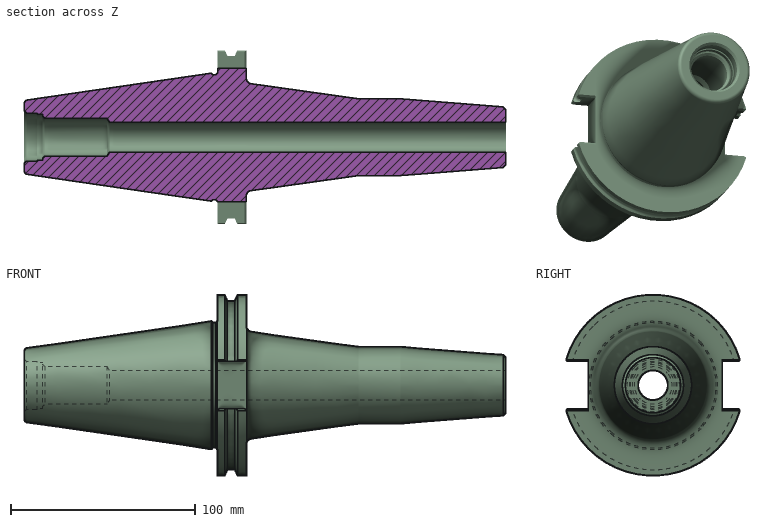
import cadquery as cq
import math


GAUGE_RADIUS = 69.85 / 2
TAPER_LENGTH = 101.75
TAPER_SLOPE = 7 / 48
SHANK_END_FILLET = 2.0

NECK_DEPTH = 0.8

FLANGE_START = 3.2
FLANGE_END = 19.1
FLANGE_RADIUS = 98.425 / 2

GROOVE_CENTER = FLANGE_START + 7.5
GROOVE_TOP_WIDTH = 7.0
GROOVE_FLOOR_WIDTH = 3.9
GROOVE_DEPTH = 3.3

SLOT_WIDTH = 25.8
SLOT_FLOOR_FRONT = 35.3
SLOT_FLOOR_BACK = 37.7
SLOT_CHAMFER = 1.0

NOSE_END = 160.0
NOSE_TIP_RADIUS = 33.0 / 2
NOSE_BODY_RADIUS = 42.0 / 2
NOSE_TIP_ANGLE = 4.5
NOSE_BODY_LENGTH = 22.9
NOSE_ROOT_ANGLE = 8.0
NOSE_ROOT_FILLET = 2.8
NOSE_TIP_CHAMFER = 1.5

MOUTH_RADIUS = 14.2
MOUTH_CHAMFER = 1.2
PILOT_DEPTH = 7.0
RECESS_RADIUS = 12.4
RECESS_DEPTH = 10.0
THREAD_RADIUS = 10.2
THREAD_CHAMFER = 1.2
THREAD_DEPTH = 45.0
DRILL_POINT_ANGLE = 118.0
THROUGH_RADIUS = 8.0

SHANK_END = -TAPER_LENGTH


def revolve_profile(points):
    """Turn a closed (x, radius) outline about the X axis."""
    return cq.Workplane("XY").polyline(points).close().revolve(360, (0, 0, 0), (1, 0, 0))


def make_shank():
    end_radius = GAUGE_RADIUS - TAPER_LENGTH * TAPER_SLOPE
    neck_radius = GAUGE_RADIUS - NECK_DEPTH
    shank = revolve_profile([
        (SHANK_END, 0),
        (SHANK_END, end_radius),
        (0, GAUGE_RADIUS),
        (NECK_DEPTH, neck_radius),
        (FLANGE_START - NECK_DEPTH, neck_radius),
        (FLANGE_START, GAUGE_RADIUS),
        (FLANGE_START, 0),
    ])
    return shank.faces("<X").edges().fillet(SHANK_END_FILLET)


def make_slot(side, floor):
    """Box that clears one drive slot; side is +1 or -1 along Y."""
    depth = FLANGE_RADIUS
    length = FLANGE_END - FLANGE_START
    middle = (FLANGE_START + FLANGE_END) / 2
    offset = side * (floor + depth / 2)
    return cq.Workplane("XY").box(length, depth, SLOT_WIDTH).translate((middle, offset, 0))


def make_groove():
    floor_radius = FLANGE_RADIUS - GROOVE_DEPTH
    half_floor = GROOVE_FLOOR_WIDTH / 2
    half_top = GROOVE_TOP_WIDTH / 2
    return revolve_profile([
        (GROOVE_CENTER - half_floor, floor_radius),
        (GROOVE_CENTER - half_top, FLANGE_RADIUS),
        (GROOVE_CENTER + half_top, FLANGE_RADIUS),
        (GROOVE_CENTER + half_floor, floor_radius),
    ])


def make_flange():
    flange = (
        cq.Workplane("YZ", origin=(FLANGE_START, 0, 0))
        .circle(FLANGE_RADIUS)
        .extrude(FLANGE_END - FLANGE_START)
    )
    flange = flange.cut(make_slot(-1, SLOT_FLOOR_FRONT))
    flange = flange.cut(make_slot(1, SLOT_FLOOR_BACK))
    walls = flange.faces("|Z")
    flange = walls.edges("|Y or (|X and (>Y or <Y))").chamfer(SLOT_CHAMFER)
    return flange.cut(make_groove())


def make_nose():
    """Nose solid, together with the radius of its cone at the flange."""
    tip_taper_length = (NOSE_BODY_RADIUS - NOSE_TIP_RADIUS) / math.tan(math.radians(NOSE_TIP_ANGLE))
    body_end = NOSE_END - tip_taper_length
    body_start = body_end - NOSE_BODY_LENGTH
    root_length = body_start - FLANGE_END
    root_radius = NOSE_BODY_RADIUS + root_length * math.tan(math.radians(NOSE_ROOT_ANGLE))
    nose = revolve_profile([
        (FLANGE_END, 0),
        (FLANGE_END, root_radius),
        (body_start, NOSE_BODY_RADIUS),
        (body_end, NOSE_BODY_RADIUS),
        (NOSE_END, NOSE_TIP_RADIUS),
        (NOSE_END, 0),
    ])
    return nose.faces(">X").edges().chamfer(NOSE_TIP_CHAMFER), root_radius


def make_root_fillet(root_radius):
    """Concave ring blending the flange back face into the nose cone."""
    angle = math.radians(NOSE_ROOT_ANGLE)
    reach = NOSE_ROOT_FILLET / math.tan(math.radians(90 + NOSE_ROOT_ANGLE) / 2)
    center_x = FLANGE_END + NOSE_ROOT_FILLET
    center_r = root_radius + reach
    cone_end = (FLANGE_END + reach * math.cos(angle), root_radius - reach * math.sin(angle))
    middle_angle = math.radians((180 + 270 - NOSE_ROOT_ANGLE) / 2)
    middle = (
        center_x + NOSE_ROOT_FILLET * math.cos(middle_angle),
        center_r + NOSE_ROOT_FILLET * math.sin(middle_angle),
    )
    return (
        cq.Workplane("XY")
        .moveTo(FLANGE_END, center_r)
        .threePointArc(middle, cone_end)
        .lineTo(FLANGE_END, cone_end[1])
        .close()
        .revolve(360, (0, 0, 0), (1, 0, 0))
    )


def make_bore():
    pilot_radius = MOUTH_RADIUS - MOUTH_CHAMFER
    pilot_end = SHANK_END + PILOT_DEPTH
    recess_end = SHANK_END + RECESS_DEPTH
    thread_end = SHANK_END + THREAD_DEPTH
    point_length = (THREAD_RADIUS - THROUGH_RADIUS) / math.tan(math.radians(DRILL_POINT_ANGLE / 2))
    return revolve_profile([
        (SHANK_END, 0),
        (SHANK_END, MOUTH_RADIUS),
        (SHANK_END + MOUTH_CHAMFER, pilot_radius),
        (pilot_end, pilot_radius),
        (pilot_end, RECESS_RADIUS),
        (recess_end, RECESS_RADIUS),
        (recess_end, THREAD_RADIUS + THREAD_CHAMFER),
        (recess_end + THREAD_CHAMFER, THREAD_RADIUS),
        (thread_end, THREAD_RADIUS),
        (thread_end + point_length, THROUGH_RADIUS),
        (NOSE_END, THROUGH_RADIUS),
        (NOSE_END, 0),
    ])


nose, nose_root_radius = make_nose()
result = (
    make_shank()
    .union(make_flange())
    .union(nose)
    .union(make_root_fillet(nose_root_radius))
    .cut(make_bore())
)